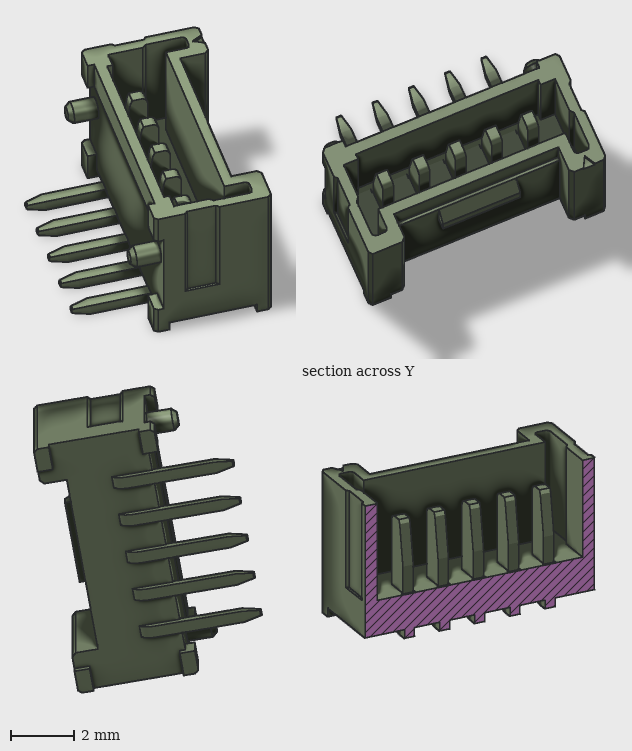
import cadquery as cq
import math


WIDTH = 8.15
DEPTH = 3.86
HEIGHT = 4.89
CORNER_X = 0.1
CORNER_Y = 0.12

PAD_WIDTH = 0.74
PAD_HEIGHT = 0.96
BAND_Y = 0.22
FACE_Y = 0.3

FOOT_HEIGHT = 0.3
FOOT_DEPTH = 0.49

ARM_WIDTH = 1.25
ARM_CHAMFER = 0.13
BACK_WALL_Y = 2.9
BACK_LEDGE_Y = 3.015
BACK_LEDGE_Z = 3.93
LATCH_WIDTH = 2.66
LATCH_Y = 3.34
LATCH_RAMP_HEIGHT = 0.555
LATCH_HEIGHT = 0.98

GROOVE_DEPTH = 0.09
GROOVE_FRONT_Y = 1.0
GROOVE_BACK_Y = 2.135
GROOVE_BOTTOM_Z = 1.53

FLOOR_Z = GROOVE_BOTTOM_Z
CAVITY_FRONT_Y = 0.77
CAVITY_BACK_Y = 2.55
CAVITY_HALF_WIDTH = 3.635
POCKET_INNER_X = 3.22
POCKET_OUTER_X = 3.74
POCKET_BACK_Y = 3.34
POCKET_RADIUS = 0.15
STEP_LOW_Y = 1.915
STEP_HIGH_Y = 2.045

RECESS_WIDTH = 6.275
RECESS_FRONT_Y = 0.59
RECESS_SLOPE = 12.0

PIN_COUNT = 5
PIN_PITCH = 1.25
PIN_SIZE = 0.37
PIN_TIP_Y = -2.29
PIN_TAPER = 0.59
PIN_TIP_SIZE = 0.16
PIN_TIP_CHAMFER = 0.04
BLADE_FRONT_Y = 0.89
BLADE_BACK_Y = 1.67
BLADE_TOP_Z = 3.98
BLADE_NOSE_RADIUS = 0.22
BLADE_RAMP_DEPTH = 0.22
BLADE_RAMP_HEIGHT = 1.385
BLADE_EDGE_DEPTH = 0.06
BLADE_EDGE_HEIGHT = 0.14
ELBOW_RADIUS = 0.59
SLOT_WIDTH = 0.43

PEG_X = 3.455
PEG_Z = 2.885
PEG_RADIUS = 0.35
PEG_TIP_RADIUS = 0.21
PEG_LENGTH = 0.96
PEG_CHAMFER_LENGTH = 0.16

MARK_X = -3.47
MARK_WIDTH = 0.39
MARK_LENGTH = 0.36
MARK_DEPTH = 0.1


def block(x0, x1, y0, y1, z0, z1):
    """Box between two opposite corners."""
    return cq.Workplane("XY").box(x1 - x0, y1 - y0, z1 - z0, centered=False).translate((x0, y0, z0))


def centred_block(width, y0, y1, z0, z1):
    """Box centred on X = 0."""
    return block(-width / 2, width / 2, y0, y1, z0, z1)


def side_profile(points, width):
    """Extrude a (Y, Z) outline along X, centred on X = 0."""
    return cq.Workplane("YZ").polyline(points).close().extrude(width / 2, both=True)


def mirrored(half):
    """A solid together with its mirror image across X = 0."""
    return half.union(half.mirror("YZ"))


def make_block():
    """Housing outline with chamfered corners and the back cut away between the arms."""
    half = WIDTH / 2
    arm_x = half - ARM_WIDTH
    right_half = [
        (0, 0),
        (half - CORNER_X, 0),
        (half, CORNER_Y),
        (half, DEPTH - CORNER_Y),
        (half - CORNER_X, DEPTH),
        (arm_x + ARM_CHAMFER, DEPTH),
        (arm_x, DEPTH - ARM_CHAMFER),
        (arm_x, BACK_LEDGE_Y),
        (0, BACK_LEDGE_Y),
    ]
    body = mirrored(cq.Workplane("XY").polyline(right_half).close().extrude(HEIGHT))
    return body.cut(centred_block(2 * arm_x, BACK_WALL_Y, BACK_LEDGE_Y, BACK_LEDGE_Z, HEIGHT))


def cut_front_and_feet(body):
    """Leave pads at the front corners and feet under the four corners."""
    between_pads = WIDTH - 2 * PAD_WIDTH
    body = body.cut(centred_block(between_pads, 0, BAND_Y, 0, HEIGHT))
    body = body.cut(centred_block(between_pads, 0, FACE_Y, 0, HEIGHT - PAD_HEIGHT))
    body = body.cut(centred_block(WIDTH, 0, FACE_Y, PAD_HEIGHT, HEIGHT - PAD_HEIGHT))
    body = body.cut(centred_block(between_pads, 0, DEPTH, 0, FOOT_HEIGHT))
    return body.cut(centred_block(WIDTH, FOOT_DEPTH, DEPTH - FOOT_DEPTH, 0, FOOT_HEIGHT))


def make_latch():
    """Latch wedge on the back wall, ramped on top and square below."""
    outline = [
        (BACK_WALL_Y, BACK_LEDGE_Z),
        (BACK_LEDGE_Y, BACK_LEDGE_Z),
        (LATCH_Y, BACK_LEDGE_Z - LATCH_RAMP_HEIGHT),
        (LATCH_Y, BACK_LEDGE_Z - LATCH_HEIGHT),
        (BACK_WALL_Y, BACK_LEDGE_Z - LATCH_HEIGHT),
    ]
    return side_profile(outline, LATCH_WIDTH)


def make_grooves():
    """Shallow bevelled grooves down both end faces."""
    end_x = WIDTH / 2
    outline = [
        (end_x, GROOVE_FRONT_Y),
        (end_x - GROOVE_DEPTH, GROOVE_FRONT_Y + GROOVE_DEPTH),
        (end_x - GROOVE_DEPTH, GROOVE_BACK_Y - GROOVE_DEPTH),
        (end_x, GROOVE_BACK_Y),
    ]
    groove = cq.Workplane("XY", origin=(0, 0, GROOVE_BOTTOM_Z)).polyline(outline).close()
    return mirrored(groove.extrude(HEIGHT - GROOVE_BOTTOM_Z))


def make_cavity():
    """Mating cavity with a narrow rounded pocket running into each arm."""
    outline = [
        (0, CAVITY_FRONT_Y),
        (CAVITY_HALF_WIDTH, CAVITY_FRONT_Y),
        (CAVITY_HALF_WIDTH, STEP_LOW_Y),
        (POCKET_OUTER_X, STEP_HIGH_Y),
        (POCKET_OUTER_X, POCKET_BACK_Y),
        (POCKET_INNER_X, POCKET_BACK_Y),
        (POCKET_INNER_X, CAVITY_BACK_Y),
        (0, CAVITY_BACK_Y),
    ]
    half = cq.Workplane("XY", origin=(0, 0, FLOOR_Z)).polyline(outline).close().extrude(HEIGHT - FLOOR_Z)
    half = half.faces(">Y").edges("|Z").fillet(POCKET_RADIUS)
    return mirrored(half)


def slope_z(y):
    """Height of the sloped recess floor, which meets the cavity floor at the cavity front."""
    return FLOOR_Z + (CAVITY_FRONT_Y - y) * math.tan(math.radians(RECESS_SLOPE))


def make_recess():
    """Recess in the front wall, open at the rim and ending on the sloped floor."""
    outline = [
        (RECESS_FRONT_Y, HEIGHT),
        (CAVITY_FRONT_Y, HEIGHT),
        (CAVITY_FRONT_Y, FLOOR_Z),
        (RECESS_FRONT_Y, slope_z(RECESS_FRONT_Y)),
    ]
    return side_profile(outline, RECESS_WIDTH)


def make_slot():
    """Shallow slot carrying the recess slope on through the cavity floor to a pin."""
    outline = [
        (CAVITY_FRONT_Y, FLOOR_Z),
        (BLADE_FRONT_Y, FLOOR_Z),
        (BLADE_FRONT_Y, slope_z(BLADE_FRONT_Y)),
    ]
    return side_profile(outline, SLOT_WIDTH)


def make_pin():
    """Right-angle pin: upright contact blade, rounded elbow and a tapered solder tail."""
    taper_y = PIN_TIP_Y + PIN_TAPER
    ramp_top_y = BLADE_FRONT_Y + BLADE_RAMP_DEPTH
    edge_z = BLADE_TOP_Z - BLADE_EDGE_HEIGHT
    bent = (
        cq.Workplane("YZ")
        .moveTo(taper_y, 0)
        .lineTo(BLADE_BACK_Y - ELBOW_RADIUS, 0)
        .radiusArc((BLADE_BACK_Y, ELBOW_RADIUS), -ELBOW_RADIUS)
        .lineTo(BLADE_BACK_Y, BLADE_TOP_Z - BLADE_NOSE_RADIUS)
        .radiusArc((BLADE_BACK_Y - BLADE_NOSE_RADIUS, BLADE_TOP_Z), -BLADE_NOSE_RADIUS)
        .lineTo(ramp_top_y + BLADE_EDGE_DEPTH, BLADE_TOP_Z)
        .lineTo(ramp_top_y, edge_z)
        .lineTo(BLADE_FRONT_Y, edge_z - BLADE_RAMP_HEIGHT)
        .lineTo(BLADE_FRONT_Y, PIN_SIZE)
        .lineTo(taper_y, PIN_SIZE)
        .close()
        .extrude(PIN_SIZE / 2, both=True)
    )
    tail_end = (
        cq.Workplane("XZ", origin=(0, taper_y, PIN_SIZE / 2))
        .rect(PIN_SIZE, PIN_SIZE)
        .workplane(offset=PIN_TAPER)
        .rect(PIN_TIP_SIZE, PIN_TIP_SIZE)
        .loft(ruled=True)
    )
    tail_end = tail_end.faces("<Y").edges("|X").chamfer(PIN_TIP_CHAMFER)
    return bent.union(tail_end)


def make_peg():
    """Locating peg with a conical tip, standing out from the front wall."""
    root_y = CAVITY_FRONT_Y
    tip_y = FACE_Y - PEG_LENGTH
    outline = [
        (0, root_y),
        (PEG_RADIUS, root_y),
        (PEG_RADIUS, tip_y + PEG_CHAMFER_LENGTH),
        (PEG_TIP_RADIUS, tip_y),
        (0, tip_y),
    ]
    peg = cq.Workplane("XY").polyline(outline).close().revolve(360, (0, 0, 0), (0, 1, 0))
    return peg.translate((PEG_X, 0, PEG_Z))


def make_mark():
    """Triangular notch in the rim that points out the first pin."""
    outline = [
        (MARK_X - MARK_WIDTH / 2, DEPTH),
        (MARK_X + MARK_WIDTH / 2, DEPTH),
        (MARK_X, DEPTH - MARK_LENGTH),
    ]
    sketch = cq.Workplane("XY", origin=(0, 0, HEIGHT - MARK_DEPTH)).polyline(outline).close()
    return sketch.extrude(MARK_DEPTH)


result = cut_front_and_feet(make_block()).union(make_latch()).union(mirrored(make_peg()))
for cutter in (make_grooves(), make_cavity(), make_recess(), make_mark()):
    result = result.cut(cutter)

for index in range(PIN_COUNT):
    pin_x = (index - (PIN_COUNT - 1) / 2) * PIN_PITCH
    result = result.cut(make_slot().translate((pin_x, 0, 0)))
    result = result.union(make_pin().translate((pin_x, 0, 0)))